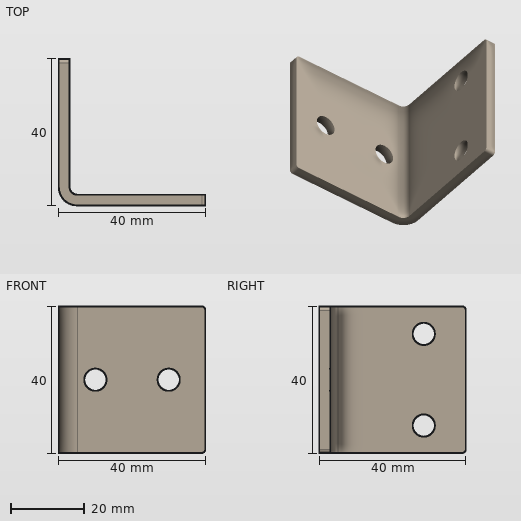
import cadquery as cq

side = 40.0
thickness = 3.0
inner_bend_radius = 2.0
outer_bend_radius = inner_bend_radius + thickness
corner_radius = 1.0
hole_diameter = 6.0

x_leg_hole_spacing = 20.0
x_leg_hole_center = side / 2

y_leg_hole_spacing = 25.0
y_leg_hole_y = 28.5

mid_height = side / 2


def bent_sheet():
    """L-shaped sheet with its outer faces on X = 0 and Y = 0."""
    profile = (
        cq.Workplane("XY")
        .polyline([
            (0, 0),
            (side, 0),
            (side, thickness),
            (thickness, thickness),
            (thickness, side),
            (0, side),
        ])
        .close()
        .extrude(side)
    )
    outer_corner = cq.selectors.NearestToPointSelector((0, 0, mid_height))
    rounded = profile.edges(outer_corner).fillet(outer_bend_radius)
    inner_corner = cq.selectors.NearestToPointSelector((thickness, thickness, mid_height))
    return rounded.edges(inner_corner).fillet(inner_bend_radius)


def round_free_corners(body):
    """Round the top and bottom corners at the free end of each leg."""
    body = body.faces(">X").edges("|Y").fillet(corner_radius)
    return body.faces(">Y").edges("|X").fillet(corner_radius)


def x_leg_holes():
    """Cutters through the leg along X."""
    half_spacing = x_leg_hole_spacing / 2
    return (
        cq.Workplane("XZ")
        .pushPoints([(x_leg_hole_center + sign * half_spacing, mid_height) for sign in (-1, 1)])
        .circle(hole_diameter / 2)
        .extrude(-thickness)
    )


def y_leg_holes():
    """Cutters through the leg along Y."""
    half_spacing = y_leg_hole_spacing / 2
    return (
        cq.Workplane("YZ")
        .pushPoints([(y_leg_hole_y, mid_height + sign * half_spacing) for sign in (-1, 1)])
        .circle(hole_diameter / 2)
        .extrude(thickness)
    )


bracket = round_free_corners(bent_sheet())
result = bracket.cut(x_leg_holes()).cut(y_leg_holes())